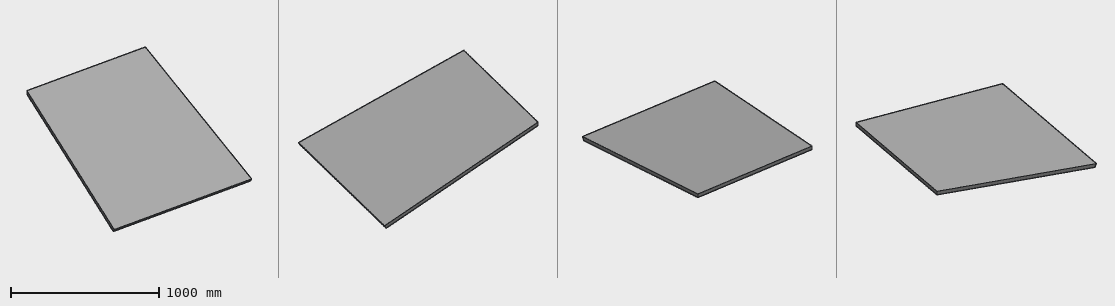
import cadquery as cq
import math

plan_run = 1275.58
high_edge_length = 931.8
side_flare = 74.05
heading = 6.68

drop = 302.04
thickness = 30.0
slope = math.atan2(drop, plan_run)
plumb_thickness = thickness / math.cos(slope)

undercut_angle = 2 * slope
undercut_depth = plumb_thickness / (1 + math.tan(slope) * math.tan(undercut_angle))
undercut_setback = undercut_depth * math.tan(undercut_angle)


def side_profile_panel():
    """Sloping slab with a plumb high end and an undercut low end, wide enough to be trimmed."""
    low_edge_length = high_edge_length + 2 * side_flare
    profile = [
        (0, 0),
        (plan_run, -drop),
        (plan_run - undercut_setback, -drop - undercut_depth),
        (0, -plumb_thickness),
    ]
    return cq.Workplane("XZ").polyline(profile).close().extrude(low_edge_length / 2, both=True)


def plan_prism():
    """Upright prism on the trapezoid plan, tall enough to span the whole slab."""
    half_high = high_edge_length / 2
    half_low = half_high + side_flare
    plan = [
        (0, -half_high),
        (plan_run, -half_low),
        (plan_run, half_low),
        (0, half_high),
    ]
    total_height = drop + undercut_depth
    return cq.Workplane("XY").polyline(plan).close().extrude(-total_height)


panel = side_profile_panel().intersect(plan_prism())
result = panel.rotate((0, 0, 0), (0, 0, 1), heading)